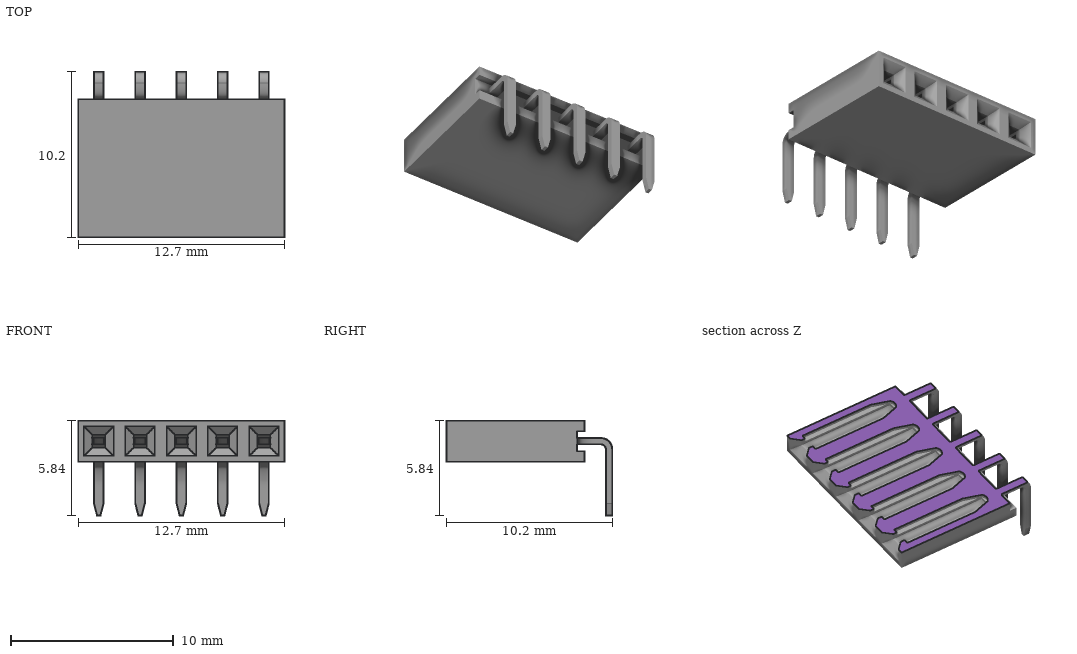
import cadquery as cq
import math

contact_count = 5
pitch = 2.54
housing_length = contact_count * pitch
housing_depth = 8.5
housing_height = 2.54

groove_height = 1.22
groove_depth = 0.47
groove_floor_y = housing_depth - groove_depth

mouth_size = 1.82
socket_size = 0.8
mouth_depth = 0.5
socket_depth = 7.0

pin_width = 0.61
pin_thickness = 0.4
pin_back_y = 10.2
overall_height = 5.84
pin_bottom_z = housing_height / 2 - overall_height
bend_outer_radius = 0.7
bend_inner_radius = bend_outer_radius - pin_thickness
tip_width = 0.22
tip_length = 0.76

head_width = 1.4
slot_setback = 0.3
slot_front_y = mouth_depth + slot_setback
flare_exposed_length = 0.1
flare_start_y = groove_floor_y + flare_exposed_length
flare_radius = (head_width - pin_width) / 2
cup_width = 0.635
cup_radius = 0.47
cup_edge_y = socket_depth
cup_wall_angle = math.radians(72)


def make_housing():
    housing = cq.Workplane("XY").box(
        housing_length, housing_depth, housing_height, centered=(True, False, True)
    )
    groove = cq.Workplane("XY").box(
        housing_length, groove_depth, groove_height, centered=(True, False, True)
    )
    return housing.cut(groove.translate((0, groove_floor_y, 0)))


def make_socket():
    """Tapered mouth and square socket, opening at y = 0 and running toward +Y."""
    mouth = (
        cq.Workplane("XZ")
        .rect(mouth_size, mouth_size)
        .workplane(offset=-mouth_depth)
        .rect(socket_size, socket_size)
        .loft(ruled=True)
    )
    bore = cq.Workplane("XY").box(
        socket_size, socket_depth, socket_size, centered=(True, False, True)
    )
    return mouth.union(bore)


def make_contact_slot():
    """Flat slot across the socket, cut into both of its side walls."""
    slot_depth = flare_start_y - flare_radius - slot_front_y
    slot = cq.Workplane("XY").box(
        head_width, slot_depth, pin_thickness, centered=(True, False, True)
    )
    return slot.translate((0, slot_front_y, 0))


def make_contact_head():
    """Flat head: the pin sides flare out through quarter arcs, the front has a round-bottomed cup."""
    half_pin = pin_width / 2
    half_head = head_width / 2
    half_cup = cup_width / 2
    flare_end_y = flare_start_y - flare_radius
    flare_mid_x = half_head - flare_radius * math.sqrt(0.5)
    flare_mid_y = flare_start_y - flare_radius * math.sqrt(0.5)

    cup_rise = cup_radius - math.sqrt(cup_radius**2 - half_cup**2)
    rim_y = cup_edge_y - (half_head - half_cup) * math.tan(cup_wall_angle)

    outline = (
        cq.Workplane("XY")
        .moveTo(half_pin, flare_start_y)
        .threePointArc((flare_mid_x, flare_mid_y), (half_head, flare_end_y))
        .lineTo(half_head, rim_y)
        .lineTo(half_cup, cup_edge_y)
        .threePointArc((0, cup_edge_y + cup_rise), (-half_cup, cup_edge_y))
        .lineTo(-half_head, rim_y)
        .lineTo(-half_head, flare_end_y)
        .threePointArc((-flare_mid_x, flare_mid_y), (-half_pin, flare_start_y))
        .close()
    )
    return outline.extrude(pin_thickness / 2, both=True)


def make_pin():
    """Pin leaving the head toward +Y and bending down, with a tip tapered in width."""
    top_z = pin_thickness / 2
    bend_y = pin_back_y - bend_outer_radius
    bend_z = top_z - bend_outer_radius
    diagonal = math.sqrt(0.5)
    outer_mid = (bend_y + bend_outer_radius * diagonal, bend_z + bend_outer_radius * diagonal)
    inner_mid = (bend_y + bend_inner_radius * diagonal, bend_z + bend_inner_radius * diagonal)

    side_profile = (
        cq.Workplane("YZ")
        .moveTo(flare_start_y, top_z)
        .lineTo(bend_y, top_z)
        .threePointArc(outer_mid, (pin_back_y, bend_z))
        .lineTo(pin_back_y, pin_bottom_z)
        .lineTo(pin_back_y - pin_thickness, pin_bottom_z)
        .lineTo(pin_back_y - pin_thickness, bend_z)
        .threePointArc(inner_mid, (bend_y, -top_z))
        .lineTo(flare_start_y, -top_z)
        .close()
    )
    pin = side_profile.extrude(pin_width / 2, both=True)

    for side in (-1, 1):
        tip_relief = (
            cq.Workplane("XZ", origin=(0, pin_back_y, 0))
            .moveTo(side * pin_width / 2, pin_bottom_z + tip_length)
            .lineTo(side * pin_width / 2, pin_bottom_z)
            .lineTo(side * tip_width / 2, pin_bottom_z)
            .close()
            .extrude(pin_thickness)
        )
        pin = pin.cut(tip_relief)
    return pin


socket_cut = make_socket().union(make_contact_slot())
contact = make_contact_head().union(make_pin())

result = make_housing()
for index in range(contact_count):
    contact_x = (index - (contact_count - 1) / 2) * pitch
    result = result.cut(socket_cut.translate((contact_x, 0, 0)))
    result = result.union(contact.translate((contact_x, 0, 0)))